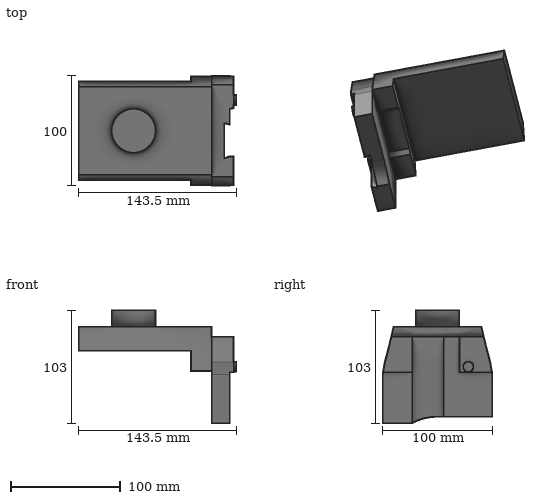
import cadquery as cq
import math


button_diameter = 40.0
button_height = 15.0

arm_start_x = -50.0
arm_end_x = 71.0
arm_thickness = 22.0
lip_start_x = 52.0
lip_depth = 40.5
arm_top_width = 80.0
lip_bottom_width = 99.0

notch_top_width = 44.0
notch_depth = 4.0

plate_width = 100.0
plate_thickness = 20.0
plate_top_z = -9.0
plate_top_width = 83.6
taper_end_z = -43.5
side_break_width = 96.0
side_break_z = -32.0
plate_bottom_z = -88.0
raised_edge_z = -82.0
bottom_arc_radius = 50.0

relief_depth = 3.4
relief_top_z = -41.5
rail_slot_depth = 8.5
rail_slot_top_y = 6.8
rail_slot_bottom_y = -25.0
rail_upper_undercut = 1.3
rail_lower_undercut = 1.8
step_edge_y = 20.4
step_edge_slope = 0.5

pin_diameter = 9.3
pin_length = 2.5
pin_y = 28.0
pin_z = -36.5

plate_back_x = arm_end_x + plate_thickness
relief_x = plate_back_x - relief_depth
slot_floor_x = plate_back_x - rail_slot_depth


def extrude_along_x(outline, start_x, length):
    """Solid from a closed (y, z) outline, starting at start_x."""
    return cq.Workplane("YZ", origin=(start_x, 0, 0)).polyline(outline).close().extrude(length)


def make_arm():
    tapered_bar = extrude_along_x(
        [
            (-arm_top_width / 2, 0),
            (arm_top_width / 2, 0),
            (lip_bottom_width / 2, -lip_depth),
            (-lip_bottom_width / 2, -lip_depth),
        ],
        arm_start_x,
        arm_end_x - arm_start_x,
    )
    space_below_arm = cq.Workplane("XY").box(
        lip_start_x - arm_start_x, plate_width, lip_depth - arm_thickness, centered=(False, True, False)
    ).translate((arm_start_x, 0, -lip_depth))
    notch = extrude_along_x(
        [
            (-notch_top_width / 2, notch_depth - lip_depth),
            (notch_top_width / 2, notch_depth - lip_depth),
            (notch_top_width / 2 + notch_depth, -lip_depth),
            (-notch_top_width / 2 - notch_depth, -lip_depth),
        ],
        lip_start_x,
        arm_end_x - lip_start_x,
    )
    return tapered_bar.cut(space_below_arm).cut(notch)


def make_backplate():
    drop = raised_edge_z - plate_bottom_z
    arc_angle = math.acos(1 - drop / bottom_arc_radius)
    arc_middle = (
        -bottom_arc_radius * math.sin(arc_angle / 2),
        raised_edge_z - bottom_arc_radius * (1 - math.cos(arc_angle / 2)),
    )
    arc_end = (-bottom_arc_radius * math.sin(arc_angle), plate_bottom_z)
    return (
        cq.Workplane("YZ", origin=(arm_end_x, 0, 0))
        .moveTo(-plate_top_width / 2, plate_top_z)
        .lineTo(plate_top_width / 2, plate_top_z)
        .lineTo(side_break_width / 2, side_break_z)
        .lineTo(plate_width / 2, taper_end_z)
        .lineTo(plate_width / 2, raised_edge_z)
        .lineTo(0, raised_edge_z)
        .threePointArc(arc_middle, arc_end)
        .lineTo(-plate_width / 2, plate_bottom_z)
        .lineTo(-plate_width / 2, taper_end_z)
        .lineTo(-side_break_width / 2, side_break_z)
        .close()
        .extrude(plate_thickness)
    )


def make_lower_relief():
    """Material removed from the back face below the thick upper part."""
    height = relief_top_z - plate_bottom_z
    return cq.Workplane("XY").box(
        relief_depth, plate_width, height, centered=(False, True, False)
    ).translate((relief_x, 0, plate_bottom_z))


def make_rail_slot():
    """Undercut rail slot with a shallow step beside it, running the full height."""
    return (
        cq.Workplane("XY", origin=(0, 0, plate_bottom_z))
        .polyline(
            [
                (plate_back_x, step_edge_y),
                (relief_x, step_edge_y - step_edge_slope),
                (relief_x, rail_slot_top_y - rail_upper_undercut),
                (slot_floor_x, rail_slot_top_y),
                (slot_floor_x, rail_slot_bottom_y),
                (relief_x, rail_slot_bottom_y + rail_lower_undercut),
                (plate_back_x, rail_slot_bottom_y + rail_lower_undercut),
            ]
        )
        .close()
        .extrude(plate_top_z - plate_bottom_z)
    )


def make_pin():
    return (
        cq.Workplane("YZ", origin=(plate_back_x, 0, 0))
        .center(pin_y, pin_z)
        .circle(pin_diameter / 2)
        .extrude(pin_length)
    )


button = cq.Workplane("XY").circle(button_diameter / 2).extrude(button_height)
backplate = make_backplate().cut(make_lower_relief()).cut(make_rail_slot())
result = make_arm().union(button).union(backplate).union(make_pin())